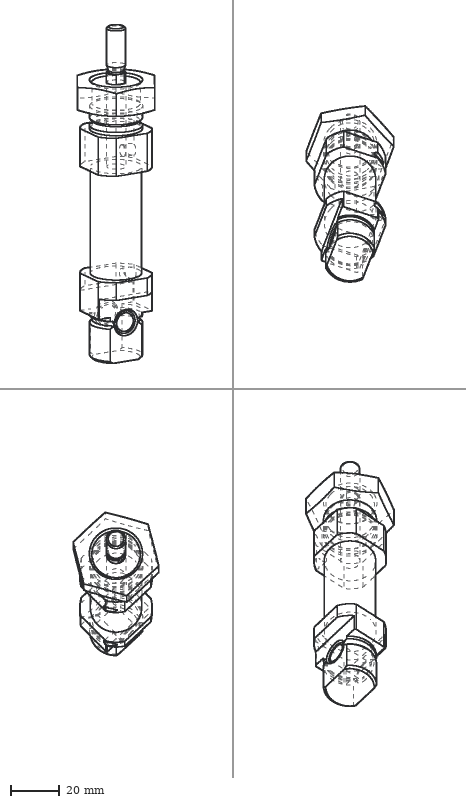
import cadquery as cq
import math

TOTAL_LENGTH = 142.0

THREAD_DIA = 22.0
THREAD_CORE_DIA = 20.0
THREAD_BEVEL = (THREAD_DIA - THREAD_CORE_DIA) / 2
UNDERCUT_WIDTH = 3.3
UNDERCUT_DIA = 19.7
UNDERCUT_FILLET = 0.9

TUBE_DIA = 21.3
CAP_WIDTH = 26.0
CAP_CORNER_DIA = 30.0
REAR_CAP_BOTTOM = 19.9
TONGUE_TOP = 28.5
REAR_CAP_TOP = 36.0
FRONT_CAP_BOTTOM = 82.0
FRONT_CAP_TOP = 98.3
TONGUE_THICKNESS = 16.0
REAR_UNDERCUT_TOP = 18.2
FRONT_UNDERCUT_BOTTOM = 99.7

PIVOT_DIA = 8.0
PIVOT_HEIGHT = 16.8
PIVOT_RECESS_DIA = 9.7
PIVOT_RECESS_DEPTH = 0.7
PIVOT_MOUTH_DIA = 11.2

PORT_DIA = 5.0
PORT_DEPTH = 5.0
PORT_OFFSET = 8.5
FRONT_PORT_HEIGHT = 85.5
REAR_PORT_HEIGHT = (TONGUE_TOP + REAR_CAP_TOP) / 2

NUT_FLATS = 32.0
NUT_CORNERS = NUT_FLATS / math.cos(math.radians(30))
NUT_BOTTOM = 108.0
NUT_TOP = 119.1
NUT_BEVEL_HEIGHT = 0.7

ROD_DIA = 8.0
ROD_NECK_DIA = 6.4
ROD_FLATS = 7.0
ROD_BOTTOM = FRONT_CAP_BOTTOM
ROD_COLLAR_TOP = 122.4
ROD_COLLAR_BEVEL = 0.1
ROD_NECK_TOP = 123.3
ROD_THREAD_START = 125.5
ROD_TIP_BEVEL = 0.7

HOUSING_TOP = NUT_TOP - THREAD_BEVEL


def revolve_profile(points):
    """Turn a closed (radius, height) outline about the Z axis."""
    return cq.Workplane("XZ").polyline(points).close().revolve(360, (0, 0, 0), (0, 1, 0))


def cylinder(diameter, bottom, top):
    return cq.Workplane("XY").workplane(offset=bottom).circle(diameter / 2).extrude(top - bottom)


def cap_block(bottom, top):
    """Square block whose corners are rounded by a coaxial cylinder."""
    square = cq.Workplane("XY").workplane(offset=bottom).rect(CAP_WIDTH, CAP_WIDTH).extrude(top - bottom)
    return square.intersect(cylinder(CAP_CORNER_DIA, bottom, top))


def undercut(ledge, toward_thread):
    """Ring that cuts a thread undercut; toward_thread is +1 for upward, -1 for downward.

    A flat ledge and a fillet close one end, a 45-degree bevel the other.
    """
    outer = THREAD_DIA / 2
    core = UNDERCUT_DIA / 2
    far = ledge + toward_thread * UNDERCUT_WIDTH
    fillet_end = ledge + toward_thread * UNDERCUT_FILLET
    fillet_mid_step = UNDERCUT_FILLET * (1 - math.sqrt(0.5))
    return (
        cq.Workplane("XZ")
        .moveTo(outer, ledge)
        .lineTo(core + UNDERCUT_FILLET, ledge)
        .threePointArc(
            (core + fillet_mid_step, ledge + toward_thread * fillet_mid_step),
            (core, fillet_end),
        )
        .lineTo(core, far - toward_thread * (outer - core))
        .lineTo(outer, far)
        .close()
        .revolve(360, (0, 0, 0), (0, 1, 0))
    )


def pivot_cutter():
    """Through hole along X with a bevelled shallow recess at each end."""
    half = TONGUE_THICKNESS / 2
    floor = half - PIVOT_RECESS_DEPTH
    profile = [
        (-half, 0),
        (-half, PIVOT_MOUTH_DIA / 2),
        (-floor, PIVOT_RECESS_DIA / 2),
        (-floor, PIVOT_DIA / 2),
        (floor, PIVOT_DIA / 2),
        (floor, PIVOT_RECESS_DIA / 2),
        (half, PIVOT_MOUTH_DIA / 2),
        (half, 0),
    ]
    spindle = cq.Workplane("XY").polyline(profile).close().revolve(360, (0, 0, 0), (1, 0, 0))
    return spindle.translate((0, 0, PIVOT_HEIGHT))


def port_cutter(height):
    """Blind round port drilled along Y from the +Y flat."""
    return (
        cq.Workplane("XZ", origin=(-PORT_OFFSET, CAP_WIDTH / 2, height))
        .circle(PORT_DIA / 2)
        .extrude(PORT_DEPTH)
    )


def make_rear_cap():
    stem = cylinder(THREAD_DIA, 0, REAR_CAP_BOTTOM).faces("<Z").chamfer(THREAD_BEVEL)
    stem = stem.cut(undercut(REAR_UNDERCUT_TOP, -1))
    tongue = (
        cq.Workplane("XY")
        .rect(TONGUE_THICKNESS, CAP_CORNER_DIA)
        .extrude(TONGUE_TOP)
    )
    lower = stem.union(cap_block(REAR_CAP_BOTTOM, TONGUE_TOP)).intersect(tongue)
    return lower.union(cap_block(TONGUE_TOP, REAR_CAP_TOP)).cut(pivot_cutter())


def make_front_cap():
    outer = THREAD_DIA / 2
    core = THREAD_CORE_DIA / 2
    nose = revolve_profile([
        (0, FRONT_CAP_TOP),
        (outer, FRONT_CAP_TOP),
        (outer, NUT_BOTTOM),
        (core, NUT_BOTTOM + THREAD_BEVEL),
        (core, HOUSING_TOP),
        (0, HOUSING_TOP),
    ])
    nose = nose.cut(undercut(FRONT_UNDERCUT_BOTTOM, 1))
    return cap_block(FRONT_CAP_BOTTOM, FRONT_CAP_TOP).union(nose)


def make_housing():
    tube = cylinder(TUBE_DIA, REAR_CAP_TOP, FRONT_CAP_BOTTOM)
    housing = make_rear_cap().union(tube).union(make_front_cap())
    for height in (FRONT_PORT_HEIGHT, REAR_PORT_HEIGHT):
        housing = housing.cut(port_cutter(height))
    rod_bore = cylinder(ROD_DIA, ROD_BOTTOM, HOUSING_TOP)
    return housing.cut(rod_bore)


def make_nut():
    hexagon = (
        cq.Workplane("XY")
        .workplane(offset=NUT_BOTTOM)
        .transformed(rotate=(0, 0, 30))
        .polygon(6, NUT_CORNERS)
        .extrude(NUT_TOP - NUT_BOTTOM)
    )
    blank = revolve_profile([
        (THREAD_DIA / 2, NUT_BOTTOM),
        (NUT_FLATS / 2, NUT_BOTTOM),
        (NUT_CORNERS / 2, NUT_BOTTOM + NUT_BEVEL_HEIGHT),
        (NUT_CORNERS / 2, NUT_TOP - NUT_BEVEL_HEIGHT),
        (NUT_FLATS / 2, NUT_TOP),
        (THREAD_DIA / 2, NUT_TOP),
        (THREAD_CORE_DIA / 2, NUT_TOP - THREAD_BEVEL),
        (THREAD_CORE_DIA / 2, NUT_BOTTOM + THREAD_BEVEL),
    ])
    return hexagon.intersect(blank)


def make_rod():
    radius = ROD_DIA / 2
    neck = ROD_NECK_DIA / 2
    rod = revolve_profile([
        (0, ROD_BOTTOM),
        (radius, ROD_BOTTOM),
        (radius, ROD_COLLAR_TOP - ROD_COLLAR_BEVEL),
        (radius - ROD_COLLAR_BEVEL, ROD_COLLAR_TOP),
        (neck, ROD_COLLAR_TOP),
        (neck, ROD_NECK_TOP),
        (radius, ROD_THREAD_START),
        (radius, TOTAL_LENGTH - ROD_TIP_BEVEL),
        (neck, TOTAL_LENGTH),
        (0, TOTAL_LENGTH),
    ])
    flat_depth = (ROD_DIA - ROD_FLATS) / 2
    for side in (-1, 1):
        flat = (
            cq.Workplane("XY")
            .workplane(offset=HOUSING_TOP)
            .center(side * (ROD_FLATS + flat_depth) / 2, 0)
            .rect(flat_depth, ROD_DIA)
            .extrude(ROD_COLLAR_TOP - HOUSING_TOP)
        )
        rod = rod.cut(flat)
    return rod


housing = make_housing()
nut = make_nut()
rod = make_rod()

result = cq.Compound.makeCompound([housing.val(), nut.val(), rod.val()])